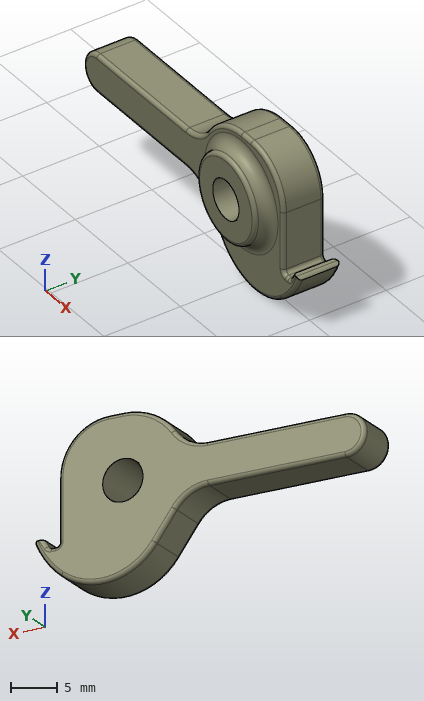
import cadquery as cq
import math

overall_length = 40.9
thickness = 5.5
edge_radius = 0.5

handle_half_width = 2.5
handle_end_x = -30.0
neck_radius = 5.0

head_radius = 7.9
corner_radius = 6.05
head_bottom_z = -11.3

bore_radius = 2.5
boss_radius = 5.5
boss_height = 2.0
boss_fillet = boss_height - edge_radius

belly_radius = 8.2
belly_center_x = 2.6
belly_end_x = 7.7

hook_top_z = -4.95
notch_floor_z = -6.05
notch_corner_radius = 0.5
notch_floor_end_x = 8.9
hook_inner_x = 9.82
hook_top_end_x = 10.4
hook_tip_x = handle_end_x + overall_length
hook_tip_z = -5.28


def on_circle(center, radius, angle):
    """Point on a circle, with the angle in radians from +X."""
    return (center[0] + radius * math.cos(angle), center[1] + radius * math.sin(angle))


def tangent_arc_middle(start, heading, end):
    """Middle of the arc that leaves start along heading (radians) and reaches end."""
    dx = end[0] - start[0]
    dz = end[1] - start[1]
    half_turn = math.atan2(dz, dx) - heading
    bulge = math.tan(half_turn / 2) / 2
    return ((start[0] + end[0]) / 2 + bulge * dz, (start[1] + end[1]) / 2 - bulge * dx)


def lever_outline():
    """Closed outline in X and Z without the notch, with a ledge at the top of the hook."""
    head_center = (0, 0)
    corner_center = (head_radius - corner_radius, head_radius - corner_radius)
    belly_center = (belly_center_x, head_bottom_z + belly_radius)

    neck_z = handle_half_width + neck_radius
    neck_x = -math.sqrt((head_radius + neck_radius) ** 2 - neck_z**2)
    neck_angle = math.atan2(neck_z, neck_x)
    upper_neck = (neck_x, neck_z)
    lower_neck = (neck_x, -neck_z)
    head_mid_angle = (neck_angle + math.pi / 2) / 2
    upper_neck_mid_angle = (neck_angle - math.pi - math.pi / 2) / 2

    gap_x = belly_center[0] - lower_neck[0]
    gap_z = belly_center[1] - lower_neck[1]
    gap = math.hypot(gap_x, gap_z)
    flank_angle = math.atan2(gap_z, gap_x) + math.acos((neck_radius + belly_radius) / gap)
    lower_neck_mid_angle = (flank_angle + math.pi / 2) / 2
    flank_end_angle = flank_angle - math.pi

    belly_end_angle = -math.acos((belly_end_x - belly_center_x) / belly_radius)
    belly_end = on_circle(belly_center, belly_radius, belly_end_angle)
    belly_bottom = (belly_center_x, head_bottom_z)
    hook_top_end = (hook_top_end_x, hook_top_z)
    hook_tip = (hook_tip_x, hook_tip_z)

    handle_center_x = handle_end_x + handle_half_width
    return (
        cq.Workplane("XZ")
        .moveTo(handle_center_x, -handle_half_width)
        .threePointArc((handle_end_x, 0), (handle_center_x, handle_half_width))
        .lineTo(neck_x, handle_half_width)
        .threePointArc(
            on_circle(upper_neck, neck_radius, upper_neck_mid_angle),
            on_circle(head_center, head_radius, neck_angle),
        )
        .threePointArc(on_circle(head_center, head_radius, head_mid_angle), (0, head_radius))
        .lineTo(corner_center[0], head_radius)
        .threePointArc(
            on_circle(corner_center, corner_radius, math.pi / 4),
            (head_radius, corner_center[1]),
        )
        .lineTo(head_radius, hook_top_z)
        .lineTo(*hook_top_end)
        .threePointArc(tangent_arc_middle(hook_top_end, 0, hook_tip), hook_tip)
        .threePointArc(tangent_arc_middle(belly_end, belly_end_angle + math.pi / 2, hook_tip), belly_end)
        .threePointArc(
            belly_bottom,
            on_circle(belly_center, belly_radius, flank_end_angle),
        )
        .lineTo(*on_circle(lower_neck, neck_radius, flank_angle))
        .threePointArc(
            on_circle(lower_neck, neck_radius, lower_neck_mid_angle),
            (neck_x, -handle_half_width),
        )
        .close()
    )


def notch_outline():
    """Notch between the head and the hook."""
    corner_x = head_radius + notch_corner_radius
    corner_z = notch_floor_z + notch_corner_radius
    hook_root = (notch_floor_end_x, corner_z)

    side_dx = hook_inner_x - hook_root[0]
    side_dz = hook_top_z - hook_root[1]
    side_heading = math.atan2(side_dz, side_dx)
    side_heading += math.asin(notch_corner_radius / math.hypot(side_dx, side_dz))
    root_end_angle = side_heading - math.pi / 2
    root_mid_angle = (root_end_angle - math.pi / 2) / 2
    return (
        cq.Workplane("XZ")
        .moveTo(head_radius, hook_top_z)
        .lineTo(head_radius, corner_z)
        .threePointArc(
            on_circle((corner_x, corner_z), notch_corner_radius, -3 * math.pi / 4),
            (corner_x, notch_floor_z),
        )
        .lineTo(notch_floor_end_x, notch_floor_z)
        .threePointArc(
            on_circle(hook_root, notch_corner_radius, root_mid_angle),
            on_circle(hook_root, notch_corner_radius, root_end_angle),
        )
        .lineTo(hook_inner_x, hook_top_z)
        .close()
    )


def make_notch_cutter():
    """Notch prism between two slabs that lie on the lever's faces; its fillets round the notch rim."""
    slab_size = 4 * edge_radius
    slab_bottom_z = notch_floor_z - slab_size
    slab_width = hook_inner_x - head_radius + 2 * slab_size
    slab_height = hook_top_z - slab_bottom_z
    cutter = notch_outline().extrude(-thickness)
    for slab_y in (-slab_size, thickness):
        slab = cq.Workplane("XY").box(slab_width, slab_size, slab_height, centered=False)
        cutter = cutter.union(slab.translate((head_radius - slab_size, slab_y, slab_bottom_z)))

    margin = 0.05
    for face_y in (0, thickness):
        rim_edges = cq.selectors.BoxSelector(
            (head_radius - margin, face_y - margin, notch_floor_z - margin),
            (hook_inner_x + margin, face_y + margin, hook_top_z - margin),
        )
        cutter = cutter.edges(rim_edges).fillet(edge_radius)
    return cutter


def make_lever():
    """Plate with rounded edges along both faces, and the notch behind the hook."""
    plate = lever_outline().extrude(-thickness)
    hook_end_edges = cq.selectors.BoxSelector(
        (head_radius + 0.4, -0.4, hook_tip_z), (hook_tip_x + 0.4, thickness + 0.4, hook_top_z + 0.4)
    )
    plate = plate.faces("<Y or >Y").edges(-hook_end_edges).fillet(edge_radius)

    return plate.cut(make_notch_cutter())


def make_boss():
    """Turned boss with a rounded rim and a concave flare into the plate."""
    flare_radius = boss_radius + boss_fillet
    rim_mid = on_circle((boss_radius - edge_radius, -boss_fillet), edge_radius, -math.pi / 4)
    flare_mid = on_circle((flare_radius, -boss_fillet), boss_fillet, 3 * math.pi / 4)
    return (
        cq.Workplane("XY")
        .lineTo(0, -boss_height)
        .lineTo(boss_radius - edge_radius, -boss_height)
        .threePointArc(rim_mid, (boss_radius, -boss_fillet))
        .threePointArc(flare_mid, (flare_radius, 0))
        .lineTo(flare_radius, edge_radius)
        .lineTo(0, edge_radius)
        .close()
        .revolve(360, (0, 0), (0, 1))
    )


bore = cq.Workplane("XZ", origin=(0, -boss_height, 0)).circle(bore_radius).extrude(-thickness - boss_height)
result = make_lever().union(make_boss()).cut(bore)